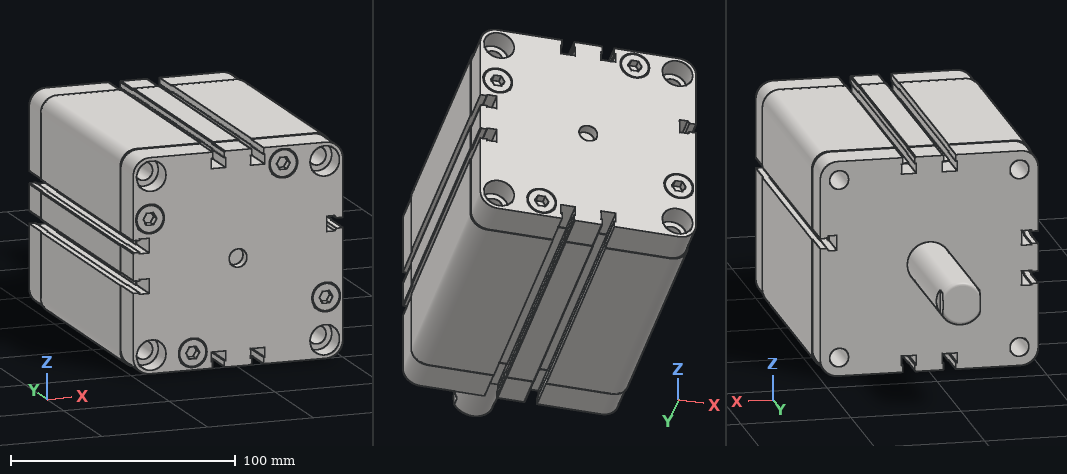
import cadquery as cq
import math

overall_length = 204.0
body_width = 100.0
housing_length = 136.0
cap_length = 16.1
cap_inset = 0.5
corner_radius = 8.0

ridge_width = 13.0
slot_mouth_width = 5.5
slot_offset = (ridge_width + slot_mouth_width) / 2
slot_inner_width = 6.7
slot_depth = 7.5
slot_lip_depth = 3.0
slot_edge_break = 0.5
square_shoulder = 0.0
sensor_slot_offset = 12.0
sensor_slot_mouth_width = 4.7
sensor_slot_inner_width = 7.0
sensor_slot_shoulder = 0.8

mount_hole_offset = 41.0
mount_hole_diameter = 8.5
mount_bore_diameter = 13.9
mount_bore_depth = 10.2

screw_edge_offset = 41.6
screw_side_offset = 21.5
screw_bore_diameter = 13.5
screw_head_diameter = 12.5
screw_bore_depth = 8.2
screw_socket_flats = 5.5
screw_socket_depth = 4.0
socket_corners = screw_socket_flats / math.cos(math.radians(30))

center_hole_diameter = 8.4
center_hole_depth = 5.0

rod_diameter = 20.0
rod_tip_radius = 1.6
flats_width = 17.0
flats_length = 6.0
flats_ramp_length = 1.0

front_y = -overall_length / 2
housing_end_y = front_y + housing_length
rod_end_y = overall_length / 2
cap_width = body_width - 2 * cap_inset


def plane_at(y):
    """Sketch plane across the axis: local x is X, local y is Z, extrusion goes to +Y."""
    return cq.Plane(origin=(0, y, 0), xDir=(1, 0, 0), normal=(0, -1, 0))


def rounded_block(width, start_y, length):
    block = cq.Workplane(plane_at(start_y)).rect(width, width).extrude(-length)
    return block.edges("|Y").fillet(corner_radius)


def cylinder(diameter, start_y, length, x=0.0, z=0.0):
    return cq.Workplane(plane_at(start_y)).center(x, z).circle(diameter / 2).extrude(-length)


def slot_cutter(surface, offset, mouth, inner, shoulder, start_y, length):
    """T-slot opening in +Z; shoulder is the height of the slope under the lips."""
    lip_z = surface - slot_lip_depth
    floor_z = surface - slot_depth
    cutter_top = surface + slot_depth
    half_profile = [
        (mouth / 2, cutter_top),
        (mouth / 2, lip_z),
        (inner / 2, lip_z - shoulder),
        (inner / 2, floor_z),
    ]
    other_half = [(-x, z) for x, z in reversed(half_profile)]
    points = [(offset + x, z) for x, z in half_profile + other_half]
    return cq.Workplane(plane_at(start_y)).polyline(points).close().extrude(-length)


def edge_break_cutter(surface, edge_x, start_y, length):
    """Diamond bar centred on a slot edge, leaving a small 45 degree chamfer."""
    corners = [
        (edge_x - slot_edge_break, surface),
        (edge_x, surface - slot_edge_break),
        (edge_x + slot_edge_break, surface),
        (edge_x, surface + slot_edge_break),
    ]
    return cq.Workplane(plane_at(start_y)).polyline(corners).close().extrude(-length)


def housing_section(width, start_y, length):
    """One length of the housing with its T-slots, sunk from its own surface."""
    section = rounded_block(width, start_y, length)
    surface = width / 2
    for turn in (0, -90, 180):
        for offset in (-slot_offset, slot_offset):
            cutter = slot_cutter(
                surface, offset, slot_mouth_width, slot_inner_width, square_shoulder, start_y, length
            )
            inner_edge = math.copysign(ridge_width / 2, offset)
            edge_break = edge_break_cutter(surface, inner_edge, start_y, length)
            cutter = cutter.union(edge_break)
            section = section.cut(cutter.rotate((0, 0, 0), (0, 1, 0), turn))
    cutter = slot_cutter(
        surface, -sensor_slot_offset, sensor_slot_mouth_width, sensor_slot_inner_width,
        sensor_slot_shoulder, start_y, length,
    )
    return section.cut(cutter.rotate((0, 0, 0), (0, 1, 0), 90))


def make_housing():
    middle = housing_section(body_width, front_y + cap_length, housing_length - 2 * cap_length)
    front_cap = housing_section(cap_width, front_y, cap_length)
    rear_cap = housing_section(cap_width, housing_end_y - cap_length, cap_length)
    return middle.union(front_cap).union(rear_cap)


def make_rod():
    """Rod with its flats facing left and right, each running out in a sloped shoulder."""
    rod = cylinder(rod_diameter, housing_end_y, rod_end_y - housing_end_y)
    rod = rod.faces(">Y").fillet(rod_tip_radius)
    ramp_end_y = rod_end_y - flats_length - flats_ramp_length
    for side in (-1, 1):
        flat = (
            cq.Workplane("XY")
            .polyline([
                (side * flats_width / 2, rod_end_y),
                (side * flats_width / 2, rod_end_y - flats_length),
                (side * rod_diameter / 2, ramp_end_y),
                (side * rod_diameter, ramp_end_y),
                (side * rod_diameter, rod_end_y),
            ])
            .close()
            .extrude(rod_diameter / 2, both=True)
        )
        rod = rod.cut(flat)
    return rod


def cut_mount_holes(part):
    for x in (-mount_hole_offset, mount_hole_offset):
        for z in (-mount_hole_offset, mount_hole_offset):
            part = part.cut(cylinder(mount_hole_diameter, front_y, housing_length, x, z))
            part = part.cut(cylinder(mount_bore_diameter, front_y, mount_bore_depth, x, z))
    return part


def fit_screws(part):
    """Four screws, each a quarter turn about the axis from the last."""
    for x, z in (
        (screw_side_offset, screw_edge_offset),
        (screw_edge_offset, -screw_side_offset),
        (-screw_side_offset, -screw_edge_offset),
        (-screw_edge_offset, screw_side_offset),
    ):
        bore = cylinder(screw_bore_diameter, front_y, screw_bore_depth, x, z)
        head = cylinder(screw_head_diameter, front_y, screw_bore_depth, x, z)
        socket = (
            cq.Workplane(plane_at(front_y))
            .center(x, z)
            .polygon(6, socket_corners)
            .extrude(-screw_socket_depth)
        )
        part = part.cut(bore.cut(head)).cut(socket)
    return part


housing = make_housing()
housing = cut_mount_holes(housing)
housing = fit_screws(housing)
housing = housing.cut(cylinder(center_hole_diameter, front_y, center_hole_depth))

result = housing.union(make_rod())